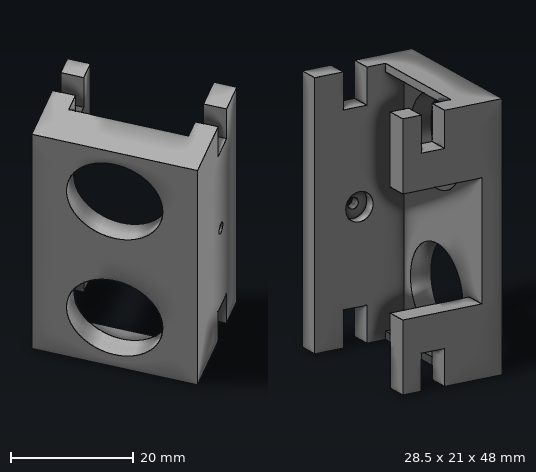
import cadquery as cq

width = 28.5
depth = 21.0
height = 48.0

wall = 4.0
rim_depth = 7.5
plate_depth = 3.95
rim_height = 1.5
left_wall_depth = 19.05

window_diameter = 16.5
window_spacing = 26.0

slot_start = 11.05
slot_width = 4.45
slot_depth = 6.6

notch_height = 21.9

bore_y = 12.5
bore_diameter = 2.0
counterbore_diameter = 5.25
counterbore_depth = 2.0


def box(x, y, z, dx, dy, dz):
    """Box with its lowest corner at (x, y, z)."""
    return cq.Workplane("XY").box(dx, dy, dz, centered=False).translate((x, y, z))


def x_cylinder(diameter, x, length):
    """Cylinder along +X on the axis of the wall hole."""
    return (
        cq.Workplane("YZ", origin=(x, bore_y, height / 2))
        .circle(diameter / 2)
        .extrude(length)
    )


right_wall_x = width - wall
body = box(0, 0, 0, width, plate_depth, height)
body = body.union(box(0, 0, 0, wall, left_wall_depth, height))
body = body.union(box(right_wall_x, 0, 0, wall, depth, height))

for rim_z in (0, height - rim_height):
    body = body.union(box(0, 0, rim_z, width, rim_depth, rim_height))

for side in (-1, 1):
    window_z = height / 2 + side * window_spacing / 2
    window = (
        cq.Workplane("XZ", origin=(width / 2, 0, window_z))
        .circle(window_diameter / 2)
        .extrude(-rim_depth)
    )
    body = body.cut(window)

for slot_z in (0, height - slot_depth):
    body = body.cut(box(0, slot_start, slot_z, width, slot_width, slot_depth))

notch_z = (height - notch_height) / 2
body = body.cut(box(0, plate_depth, notch_z, wall, left_wall_depth - plate_depth, notch_height))

body = body.cut(x_cylinder(bore_diameter, right_wall_x, wall))
body = body.cut(x_cylinder(counterbore_diameter, right_wall_x, counterbore_depth))

result = body